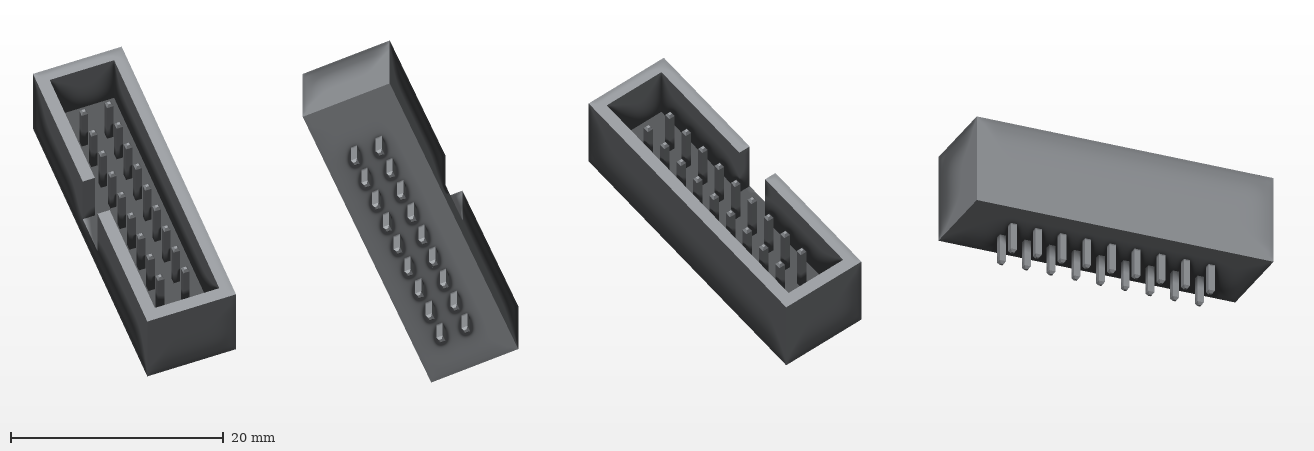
import cadquery as cq

housing_length = 30.48
housing_width = 8.9
housing_height = 8.9
wall = 1.22
cavity_depth = 6.1
key_slot_width = 3.95

pin_columns = 9
pin_rows = 2
housing_pitches = 12
pin_pitch = housing_length / housing_pitches
pin_side = 0.65
pin_drop = 3.0
pin_top_gap = 0.85
tip_height = 0.27
tip_side = 0.27


def make_housing():
    """Box with a rectangular cavity and a polarising slot through the front wall."""
    floor_height = housing_height - cavity_depth
    housing = cq.Workplane("XY").box(
        housing_length, housing_width, housing_height, centered=(True, True, False)
    )
    cavity = (
        cq.Workplane("XY", origin=(0, 0, floor_height))
        .rect(housing_length - 2 * wall, housing_width - 2 * wall)
        .extrude(cavity_depth)
    )
    key_slot = (
        cq.Workplane("XY", origin=(0, -housing_width / 4, floor_height))
        .rect(key_slot_width, housing_width / 2)
        .extrude(cavity_depth)
    )
    return housing.cut(cavity).cut(key_slot)


def make_tip(base_height, direction):
    """Pyramid frustum narrowing upward (direction 1) or downward (direction -1)."""
    return (
        cq.Workplane("XY", origin=(0, 0, base_height))
        .rect(pin_side, pin_side)
        .workplane(offset=direction * tip_height)
        .rect(tip_side, tip_side)
        .loft(ruled=True)
    )


def make_pin():
    """Square pin running through the floor, tapered at both ends."""
    shank_bottom = -pin_drop + tip_height
    shank_top = housing_height - pin_top_gap - tip_height
    shank = (
        cq.Workplane("XY", origin=(0, 0, shank_bottom))
        .rect(pin_side, pin_side)
        .extrude(shank_top - shank_bottom)
    )
    return shank.union(make_tip(shank_top, 1)).union(make_tip(shank_bottom, -1))


result = make_housing()
pin = make_pin()
for column in range(pin_columns):
    for row in range(pin_rows):
        x = (column - (pin_columns - 1) / 2) * pin_pitch
        y = (row - (pin_rows - 1) / 2) * pin_pitch
        result = result.union(pin.translate((x, y, 0)))